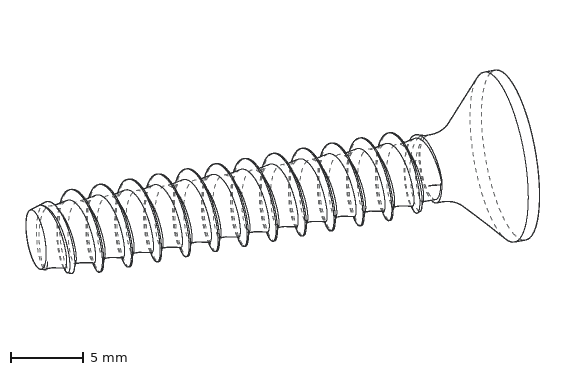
import cadquery as cq
import math


total_length = 35
head_radius = 6.002
rim_height = 0.85

cone_angle = math.radians(45)
neck_radius = 2.38
neck_blend_radius = 2.38
neck_end = 5.9

core_radius = 2.15
tip_radius = 2.1
dimple_depth = 0.25

pitch = 2.15
crest_radius = 3.0
crest_half_width = 0.052
thread_start = 5.55
thread_turns = 15
run_in_start = 5.08
full_thread_start = 8.15
full_thread_end = 31.92

root_radius = 2.1
buried_radius = 1.9
crest_clearance = 0.05
core_seam_angle = 77

thread_section = [
    (buried_radius, -0.472),
    (root_radius, -0.472),
    (2.55, -0.2),
    (crest_radius, -crest_half_width),
    (crest_radius, crest_half_width),
    (2.5, 0.2),
    (2.3, 0.3),
    (root_radius, 1.45),
    (buried_radius, 1.45),
]


def make_head():
    """Head and blended neck as one revolved solid."""
    blend_top_radius = neck_radius + neck_blend_radius * (1 - math.cos(cone_angle))
    blend_top = rim_height + (head_radius - blend_top_radius) / math.tan(cone_angle)
    blend_bottom = blend_top + neck_blend_radius * math.sin(cone_angle)
    half_angle = cone_angle / 2
    blend_middle = (
        neck_radius + neck_blend_radius * (1 - math.cos(half_angle)),
        blend_bottom - neck_blend_radius * math.sin(half_angle),
    )
    outline = (
        cq.Workplane("XZ")
        .moveTo(0, 0)
        .lineTo(head_radius, 0)
        .lineTo(head_radius, rim_height)
        .lineTo(blend_top_radius, blend_top)
        .threePointArc(blend_middle, (neck_radius, blend_bottom))
        .lineTo(neck_radius, neck_end)
        .lineTo(0, neck_end)
        .close()
    )
    return outline.revolve(360, (0, 0, 0), (0, 1, 0))


def make_threaded_shank():
    """Core with a helical ridge whose height runs in below the neck and runs out at the tip."""
    thread_length = pitch * thread_turns
    core = (
        cq.Workplane("XY")
        .circle(core_radius)
        .extrude(thread_length + 2 * pitch)
        .rotate((0, 0, 0), (0, 0, 1), core_seam_angle)
        .translate((0, 0, thread_start - pitch))
    )
    helix = cq.Wire.makeHelix(pitch, thread_length, core_radius)
    ridge = (
        cq.Workplane("XZ")
        .polyline(thread_section)
        .close()
        .sweep(cq.Workplane(helix), isFrenet=True)
        .translate((0, 0, thread_start))
    )
    envelope = (
        cq.Workplane("XZ")
        .moveTo(0, run_in_start)
        .lineTo(core_radius, run_in_start)
        .lineTo(crest_radius + crest_clearance, full_thread_start)
        .lineTo(crest_radius + crest_clearance, full_thread_end)
        .lineTo(tip_radius, total_length)
        .lineTo(0, total_length)
        .close()
        .revolve(360, (0, 0, 0), (0, 1, 0))
    )
    return core.union(ridge).intersect(envelope)


def make_dimple():
    """Shallow cone to remove from the tip face."""
    return (
        cq.Workplane("XZ")
        .polyline([(0, total_length), (tip_radius, total_length), (0, total_length - dimple_depth)])
        .close()
        .revolve(360, (0, 0, 0), (0, 1, 0))
    )


screw = make_head().union(make_threaded_shank()).cut(make_dimple())
result = screw.rotate((0, 0, 0), (1, 0, 0), 90)